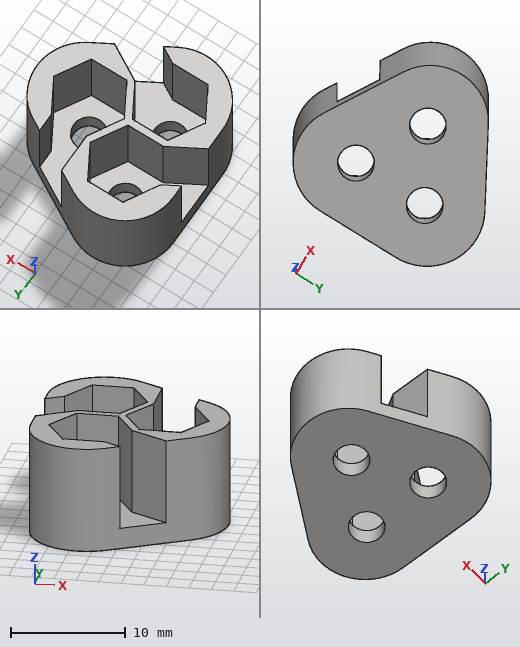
import cadquery as cq
import math

overall_length = 17.96
height = 9.54
corner_radius = 5.06
corner_spacing = overall_length - 2 * corner_radius

across_flats = 6.4
wall_between_pockets = 0.7
floor_thickness = 1.9
hole_diameter = 3.2

pocket_spacing = across_flats + wall_between_pockets
pocket_depth = height - floor_thickness
across_corners = across_flats / math.cos(math.radians(30))
slot_width = across_corners / 2
slot_length = overall_length / 2


def make_body():
    """Triangle with one corner on +X, grown outwards with round corners."""
    triangle_diameter = 2 * corner_spacing / math.sqrt(3)
    return (
        cq.Workplane("XY")
        .polygon(3, triangle_diameter)
        .offset2D(corner_radius, "arc")
        .extrude(height)
    )


def make_nut_cut():
    """Pocket nearest +X, with its insertion slot towards +Y and its screw hole."""
    center_x = pocket_spacing / math.sqrt(3)
    pocket_floor = cq.Workplane("XY", origin=(center_x, 0, floor_thickness))
    pocket = pocket_floor.polygon(6, across_corners).extrude(pocket_depth)
    slot = pocket_floor.rect(slot_width, slot_length).extrude(pocket_depth)
    slot = slot.translate((0, slot_length / 2, 0))
    hole = cq.Workplane("XY", origin=(center_x, 0, 0)).circle(hole_diameter / 2).extrude(height)
    return pocket.union(slot).union(hole)


result = make_body()
nut_cut = make_nut_cut()
for angle in (0, 120, 240):
    result = result.cut(nut_cut.rotate((0, 0, 0), (0, 0, 1), angle))